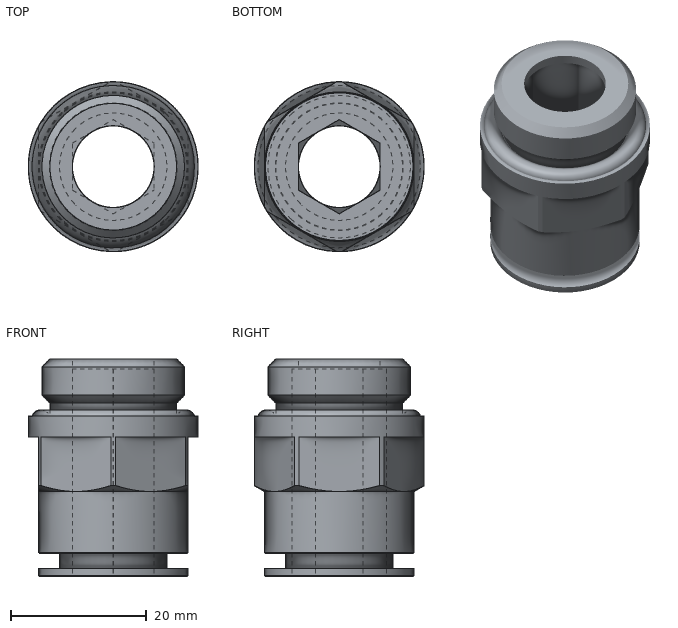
import cadquery as cq
import math

RELEASE_FLANGE_TOP = 1.2
BODY_BOTTOM = 3.4
HEX_BOTTOM = 12.5
COLLAR_BOTTOM = 20.5
COLLAR_TOP = 23.6
HEAD_BOTTOM = 25.5
TOTAL_HEIGHT = 32.0

BODY_DIAMETER = 22.0
COLLAR_DIAMETER = 25.0
RELEASE_NECK_DIAMETER = 15.8
HEAD_DIAMETER = 20.95
HEAD_NECK_DIAMETER = 18.63
BOTTOM_EDGE_CHAMFER = 0.15
HEAD_CHAMFER = (HEAD_DIAMETER - HEAD_NECK_DIAMETER) / 2

HEX_SIDES = 6
HEX_ACROSS_FLATS = BODY_DIAMETER
HEX_CORNER_DIAMETER = COLLAR_DIAMETER
HEX_CHAMFER_ANGLE = 30.0

SEAL_SECTION_RADIUS = 1.35
SEAL_CENTER_RADIUS = HEAD_NECK_DIAMETER / 2 + SEAL_SECTION_RADIUS
SEAL_TOP = 24.5

BORE_DIAMETER = 12.0
BORE_MOUTH_DEPTH = 1.5


def cylinder(diameter, bottom, top):
    return cq.Workplane("XY").workplane(offset=bottom).circle(diameter / 2).extrude(top - bottom)


def hexagonal_prism(across_flats, bottom, top):
    corner_diameter = across_flats / math.cos(math.pi / HEX_SIDES)
    prism = (
        cq.Workplane("XY")
        .workplane(offset=bottom)
        .polygon(HEX_SIDES, corner_diameter)
        .extrude(top - bottom)
    )
    return prism.rotate((0, 0, 0), (0, 0, 1), 180 / HEX_SIDES)


def make_release_sleeve():
    """Bottom flange and the narrower neck that joins it to the body."""
    flange = cylinder(BODY_DIAMETER, 0, RELEASE_FLANGE_TOP).faces("<Z").chamfer(BOTTOM_EDGE_CHAMFER)
    neck = cylinder(RELEASE_NECK_DIAMETER, RELEASE_FLANGE_TOP, BODY_BOTTOM)
    return flange.union(neck)


def make_body():
    """Round body with its lower edge broken."""
    return cylinder(BODY_DIAMETER, BODY_BOTTOM, COLLAR_BOTTOM).faces("<Z").chamfer(BOTTOM_EDGE_CHAMFER)


def make_wrench_hexagon():
    """Hexagon with corners turned round and lower corners cut by a cone."""
    flat_radius = HEX_ACROSS_FLATS / 2
    corner_radius = HEX_CORNER_DIAMETER / 2
    chamfer_height = (corner_radius - flat_radius) * math.tan(math.radians(HEX_CHAMFER_ANGLE))
    turned_blank = (
        cq.Workplane("XZ")
        .moveTo(0, HEX_BOTTOM)
        .lineTo(flat_radius, HEX_BOTTOM)
        .lineTo(corner_radius, HEX_BOTTOM + chamfer_height)
        .lineTo(corner_radius, COLLAR_BOTTOM)
        .lineTo(0, COLLAR_BOTTOM)
        .close()
        .revolve(360, (0, 0, 0), (0, 1, 0))
    )
    return hexagonal_prism(HEX_ACROSS_FLATS, HEX_BOTTOM, COLLAR_BOTTOM).intersect(turned_blank)


def make_seal_ring():
    return (
        cq.Workplane("XZ")
        .center(SEAL_CENTER_RADIUS, SEAL_TOP - SEAL_SECTION_RADIUS)
        .circle(SEAL_SECTION_RADIUS)
        .revolve(360, (-SEAL_CENTER_RADIUS, 0, 0), (-SEAL_CENTER_RADIUS, 1, 0))
    )


def make_head():
    """Neck above the collar and the head, chamfered at both ends down to the neck diameter."""
    neck = cylinder(HEAD_NECK_DIAMETER, COLLAR_TOP, HEAD_BOTTOM)
    head = cylinder(HEAD_DIAMETER, HEAD_BOTTOM, TOTAL_HEIGHT).faces("<Z or >Z").chamfer(HEAD_CHAMFER)
    return neck.union(head)


def make_bore():
    mouth_bottom = TOTAL_HEIGHT - BORE_MOUTH_DEPTH
    mouth = cylinder(BORE_DIAMETER, mouth_bottom, TOTAL_HEIGHT)
    passage = hexagonal_prism(BORE_DIAMETER, 0, mouth_bottom)
    return mouth.union(passage)


collar = cylinder(COLLAR_DIAMETER, COLLAR_BOTTOM, COLLAR_TOP)

result = (
    make_release_sleeve()
    .union(make_body())
    .union(make_wrench_hexagon())
    .union(collar)
    .union(make_seal_ring())
    .union(make_head())
    .cut(make_bore())
)